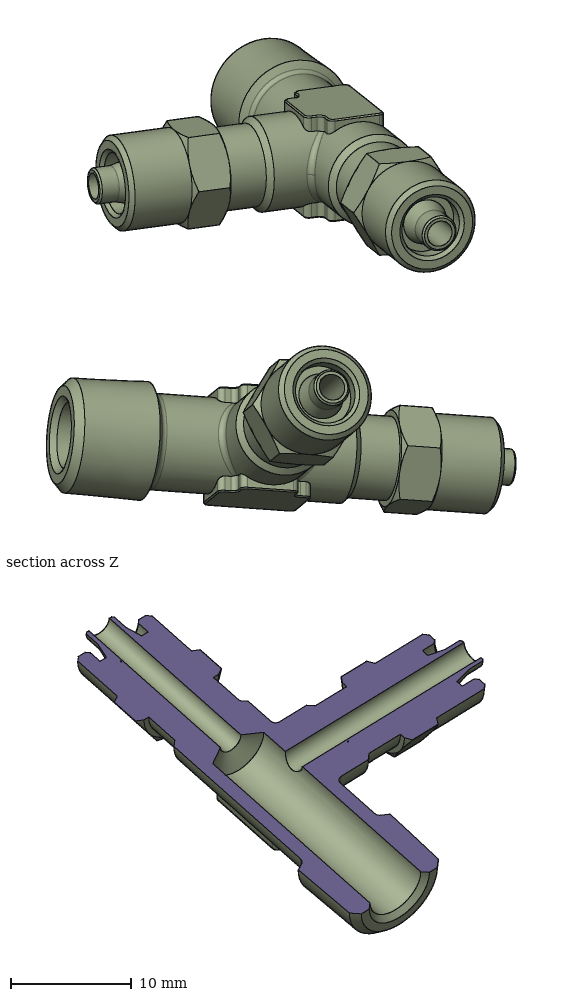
import cadquery as cq
import math

run_length = 39.0
plug_radius = 4.95
arm_reach = 22.0
plug_end_x = arm_reach - run_length

body_radius = 4.0
neck_radius = 3.5
bore_radius = 1.1

plug_tip_radius = 4.8
plug_tip_chamfer = 0.7
plug_back_x = -9.83
plug_back_angle = 60.0
plug_root_fillet = 0.55
socket_radius = 2.73
socket_chamfer = 0.5
socket_floor_x = 3.9
socket_cone_angle = 59.0

neck_start = 7.95
hex_start = 11.3
hex_length = 3.5
hex_bevel_angle = 30.0
nut_end = 20.3
nut_chamfer = 0.4
nut_recess_radius = 2.57
nut_recess_chamfer = 0.3
nut_recess_depth = 1.55
stem_radius = 1.52
stem_base_radius = 1.9
stem_tip_chamfer = 0.15

pad_height = 4.5
pad_half_depth = 2.5
pad_tongue_half_width = 2.5
pad_corner_radius = 0.5
pad_edge_chamfer = 0.1
crotch_fillet = 0.5


def turned_on_x(outline):
    """Revolve a closed (x, radius) outline about the X axis."""
    return cq.Workplane("XY").polyline(outline).close().revolve(360, (0, 0, 0), (1, 0, 0))


def make_plug_and_body():
    """Tapered plug with a filleted conical back, followed by the plain body up to the origin."""
    angle = math.radians(plug_back_angle)
    root_x = plug_back_x + (plug_radius - body_radius) / math.tan(angle)
    tangent = plug_root_fillet * math.tan(angle / 2)
    fillet_end_x = root_x + tangent
    arc_center_r = body_radius + plug_root_fillet
    cone_tangent_point = (root_x - tangent * math.cos(angle), body_radius + tangent * math.sin(angle))
    arc_middle = (
        fillet_end_x - plug_root_fillet * math.sin(angle / 2),
        arc_center_r - plug_root_fillet * math.cos(angle / 2),
    )
    return (
        cq.Workplane("XY")
        .moveTo(plug_end_x, 0)
        .lineTo(plug_end_x, plug_tip_radius - plug_tip_chamfer)
        .lineTo(plug_end_x + plug_tip_chamfer, plug_tip_radius)
        .lineTo(plug_back_x, plug_radius)
        .lineTo(*cone_tangent_point)
        .threePointArc(arc_middle, (fillet_end_x, body_radius))
        .lineTo(0, body_radius)
        .lineTo(0, 0)
        .close()
        .revolve(360, (0, 0, 0), (1, 0, 0))
    )


def make_socket():
    """Chamfered socket running past the junction and closing in a cone down to the run bore."""
    cone_length = (socket_radius - bore_radius) / math.tan(math.radians(socket_cone_angle))
    return turned_on_x([
        (plug_end_x, 0),
        (plug_end_x, socket_radius + socket_chamfer),
        (plug_end_x + socket_chamfer, socket_radius),
        (socket_floor_x, socket_radius),
        (socket_floor_x + cone_length, bore_radius),
        (socket_floor_x + cone_length, 0),
    ])


def make_arm_core():
    """Solid of revolution along +X: body, neck, nut with its recess, and the flared hose stem."""
    recess_floor = nut_end - nut_recess_depth
    return turned_on_x([
        (0, 0),
        (0, body_radius),
        (neck_start - (body_radius - neck_radius), body_radius),
        (neck_start, neck_radius),
        (hex_start, neck_radius),
        (hex_start, body_radius),
        (nut_end - nut_chamfer, body_radius),
        (nut_end, body_radius - nut_chamfer),
        (nut_end, nut_recess_radius + nut_recess_chamfer),
        (nut_end - nut_recess_chamfer, nut_recess_radius),
        (recess_floor, nut_recess_radius),
        (recess_floor, stem_base_radius),
        (nut_end, stem_radius),
        (arm_reach - stem_tip_chamfer, stem_radius),
        (arm_reach, stem_radius - stem_tip_chamfer),
        (arm_reach, 0),
    ])


def make_hexagon():
    """Hexagon on +X with flats facing up and down and its corners bevelled at both ends."""
    corner_radius = body_radius / math.cos(math.pi / 6)
    bevel = (corner_radius - body_radius) * math.tan(math.radians(hex_bevel_angle))
    hex_end = hex_start + hex_length
    prism = cq.Workplane("YZ").workplane(offset=hex_start).polygon(6, 2 * corner_radius).extrude(hex_length)
    bevel_envelope = turned_on_x([
        (hex_start, 0),
        (hex_start, body_radius),
        (hex_start + bevel, corner_radius),
        (hex_end - bevel, corner_radius),
        (hex_end, body_radius),
        (hex_end, 0),
    ])
    return prism.intersect(bevel_envelope)


def make_pads():
    """T-shaped flat pads, one on each side, reaching through the junction."""
    pad = (
        cq.Workplane("XY")
        .workplane(offset=-pad_height)
        .polyline([
            (-body_radius, pad_half_depth),
            (body_radius, pad_half_depth),
            (body_radius, -pad_half_depth),
            (pad_tongue_half_width, -pad_half_depth),
            (pad_tongue_half_width, -body_radius),
            (-pad_tongue_half_width, -body_radius),
            (-pad_tongue_half_width, -pad_half_depth),
            (-body_radius, -pad_half_depth),
        ])
        .close()
        .extrude(2 * pad_height)
    )
    return pad.edges("|Z").fillet(pad_corner_radius).faces("<Z or >Z").chamfer(pad_edge_chamfer)


def to_branch(shape):
    """Turn a shape made along +X so that it points to -Y."""
    return shape.rotate((0, 0, 0), (0, 0, 1), -90)


arm_core = make_arm_core()
tee = make_plug_and_body().union(arm_core).union(to_branch(arm_core)).union(make_pads())
result = tee.edges("%ELLIPSE").fillet(crotch_fillet)

hexagon = make_hexagon()
result = result.union(hexagon).union(to_branch(hexagon))

run_bore = cq.Workplane("YZ").workplane(offset=plug_end_x).circle(bore_radius).extrude(run_length)
branch_bore = cq.Workplane("YZ").circle(bore_radius).extrude(arm_reach)
result = result.cut(make_socket()).cut(run_bore).cut(to_branch(branch_bore))